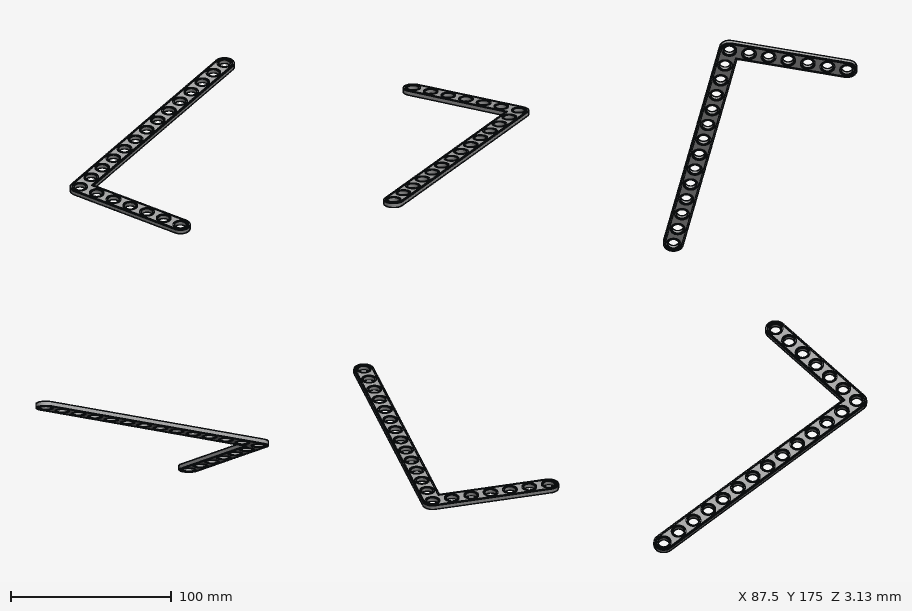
import cadquery as cq

pitch = 12.5
thickness = pitch / 4
holes_along_x = 7
holes_along_y = 14
hole_diameter = 7.0
ring_diameter = 9.2
rim_chamfer = 0.3
hole_chamfer = 0.3
recess_depth = 0.2

arm_width = pitch
rim_width = (ring_diameter - hole_diameter) / 2
length_x = (holes_along_x - 1) * pitch
length_y = (holes_along_y - 1) * pitch

x_arm_centres = [(i * pitch, 0) for i in range(holes_along_x)]
y_arm_centres = [(0, i * pitch) for i in range(1, holes_along_y)]
hole_centres = x_arm_centres + y_arm_centres


def make_arm(length, width, height, angle):
    """Round-ended bar from the corner hole to the last hole, turned by angle from the X axis."""
    bar = cq.Workplane("XY").center(length / 2, 0).slot2D(length + width, width)
    return bar.extrude(height).rotate((0, 0, 0), (0, 0, 1), angle)


def make_bracket(width, height):
    """Both arms joined into an L."""
    x_arm = make_arm(length_x, width, height, 0)
    y_arm = make_arm(length_y, width, height, 90)
    return x_arm.union(y_arm).clean()


def make_discs(diameter, height):
    """One disc at every hole position."""
    return cq.Workplane("XY").pushPoints(hole_centres).circle(diameter / 2).extrude(height)


def make_recess():
    """Shallow pocket inside the edge rim that leaves a raised ring around every hole."""
    pocket = make_bracket(arm_width - 2 * rim_width, recess_depth)
    return pocket.cut(make_discs(ring_diameter, recess_depth))


def make_blank():
    """L-shaped plate with its outer edges chamfered on both faces."""
    return make_bracket(arm_width, thickness).faces("<Z or >Z").edges().chamfer(rim_chamfer)


def cut_holes(body):
    """Through holes, chamfered at both ends."""
    drilled = body.cut(make_discs(hole_diameter, thickness))
    mouths = drilled.faces("<Z or >Z").edges("%CIRCLE").edges(cq.selectors.RadiusNthSelector(0))
    return mouths.chamfer(hole_chamfer)


bottom_recess = make_recess()
top_recess = bottom_recess.translate((0, 0, thickness - recess_depth))
result = cut_holes(make_blank()).cut(bottom_recess).cut(top_recess)